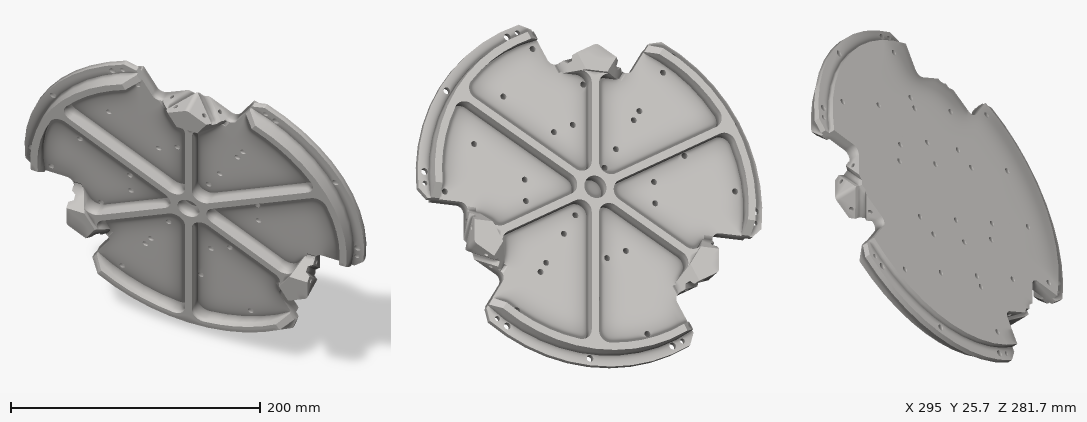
import cadquery as cq
import math

flange_back = 5.3
floor_height = 10.0
rib_height = 22.5
block_height = 25.7
clearance = 6.0

flange_radius = 147.5
back_radius = 136.2
rim_base_radius = 138.3
rim_front_radius = 137.5
pocket_radius = 131.2

rib_width = 6.2
pocket_fillet = 9.5
hub_recess_radius = 9.5
sector_angle = math.radians(60)
rim_rib_angles = (30, 150, 270)

notch_angles = (90, 210, 330)
face_tilt = math.radians(30)
face_distance = 104.7
side_offset = 22.0
notch_fillet = 6.5
peak_fillet = 4.5
block_inner = 97.5
block_half_width = 26.5
flange_corner = 139.0
rim_end_height = 12.5
peak_distance = face_distance / math.cos(face_tilt)
face_length = peak_distance * math.sin(face_tilt) - side_offset

groove_angle = math.radians(52)
flank_start = 19.5
flank_reach = 27.5
ditch_depth = 1.5
ditch_width = 2.5
ditch_length = 7.0
groove_offset = -1.8
groove_mouth = 9.5
groove_floor = 4.7
groove_depth = 3.8
groove_length = 47.2
groove_start = -4.5
screw_position = 23.0
screw_offset = 8.0
screw_diameter = 3.8
screw_depth = 8.8

flange_hole_circle = 141.5
flange_hole_diameter = 5.5
pin_hole_diameter = 4.0
bolt_step = 30
pin_step = 34

grid_axis_angle = 60
floor_hole_circle = 125.0
grid = floor_hole_circle / 5
floor_hole_diameter = 5.0
inner_square = 40.0
inner_axis_hole = 44.5
outer_axis_hole = 84.5
axis_hole_places = (grid, inner_axis_hole, 3 * grid, outer_axis_hole, floor_hole_circle)

normal = cq.Vector(math.cos(face_tilt), math.sin(face_tilt), 0)
along = cq.Vector(-math.sin(face_tilt), math.cos(face_tilt), 0)
up = cq.Vector(0, 0, 1)
peak = cq.Vector(peak_distance, 0, 0)


def disc(radius, bottom, top):
    return cq.Workplane("XY").workplane(offset=bottom).circle(radius).extrude(top - bottom)


def on_axis(angle, solid):
    return solid.rotate((0, 0, 0), (0, 0, 1), angle)


def both_sides(solid):
    return solid.union(solid.mirror("XZ"))


def beside_notch(distance, offset):
    """Point given along the face normal and along the face, from the part's centre."""
    return (normal * distance + along * offset).toTuple()[:2]


def body():
    """Back plate and flange, with a slightly tapered solid drum in front."""
    plate = disc(back_radius, 0, floor_height)
    flange = disc(flange_radius, flange_back, floor_height)
    drum_height = rib_height - floor_height
    taper = math.degrees(math.atan((rim_base_radius - rim_front_radius) / drum_height))
    drum = cq.Workplane("XY").workplane(offset=floor_height).circle(rim_base_radius)
    return plate.union(flange).union(drum.extrude(drum_height, taper=taper))


def block(height):
    """Raised stock of a mounting block; the notch trims its outer faces."""
    depth = peak_distance - block_inner
    footprint = cq.Workplane("XY").center(block_inner + depth / 2, 0).rect(depth, 2 * block_half_width)
    return footprint.extrude(height)


def pocket():
    """Sector pocket from the notch rib on the X axis round to the rib at 60 degrees."""
    half = rib_width / 2
    tip = half / math.tan(sector_angle / 2)
    reach = 2 * flange_radius
    far_end = (reach * math.cos(sector_angle), reach * math.sin(sector_angle))
    far_corner = (far_end[0] + tip, far_end[1] + half)
    height = block_height + clearance - floor_height
    sector = (
        cq.Workplane("XY").workplane(offset=floor_height)
        .polyline([(tip, half), (reach, half), far_corner]).close().extrude(height)
    )
    block_room = block(block_height + clearance)
    sector = sector.intersect(disc(pocket_radius, floor_height, floor_height + height)).cut(block_room)
    rim_corner = (pocket_radius / 2, pocket_radius * math.sin(sector_angle))
    corners = [(tip, half), (block_inner, half), rim_corner]
    for x, y in corners:
        corner = cq.selectors.NearestToPointSelector((x, y, floor_height + height / 2))
        sector = sector.edges(corner).fillet(pocket_fillet)
    return sector


def notch():
    """Opening in the outline, with a roof-shaped floor that forms the mounting faces."""
    corner = beside_notch(face_distance, -side_offset)
    outer = beside_notch(2 * flange_radius, -side_offset)
    outline = [(peak_distance, 0), corner, outer, (outer[0], -outer[1]), (corner[0], -corner[1])]
    opening = cq.Workplane("XY").polyline(outline).close().extrude(block_height)
    middle = block_height / 2
    peak_edge = cq.selectors.NearestToPointSelector((peak_distance, 0, middle))
    opening = opening.edges(peak_edge).fillet(peak_fillet)
    for side in (1, -1):
        place = (corner[0], side * corner[1], middle)
        opening = opening.edges(cq.selectors.NearestToPointSelector(place)).fillet(notch_fillet)
    return opening


def flange_corner_cut():
    """45 degree corner where the flange meets the side of the notch."""
    size = flange_radius - flange_corner + clearance
    points = [
        beside_notch(flange_corner, -side_offset),
        beside_notch(flange_corner + size, -side_offset + size),
        beside_notch(flange_corner + size, -side_offset),
    ]
    return cq.Workplane("XY").polyline(points).close().extrude(floor_height)


def rim_end_cut():
    """45 degree slope at the end of the raised rim."""
    plane = cq.Plane(origin=normal * flange_corner, xDir=along, normal=normal)
    rise = rib_height + clearance - rim_end_height
    points = [
        (-side_offset, rim_end_height),
        (-side_offset + rise, rim_end_height + rise),
        (-side_offset, rim_end_height + rise),
    ]
    length = 2 * (flange_corner - pocket_radius)
    return cq.Workplane(plane).polyline(points).close().extrude(length, both=True)


def face_plane():
    """Plane on a mounting face: x runs from the peak along the face, y up from the back."""
    return cq.Plane(origin=peak, xDir=along, normal=normal)


def flank_cut():
    """Sloped flank of the block, square to the groove, with a shallow ditch at its foot."""
    slope = 1 / math.tan(groove_angle)

    def flank(height):
        return (flank_start + (block_height - height) * slope, height)

    top = block_height + clearance
    end = face_length + clearance
    above_floor = [flank(top), flank(floor_height), (end, floor_height), (end, top)]
    ditch_bottom = flank(floor_height - ditch_depth)
    ditch = [flank(floor_height), ditch_bottom, (ditch_bottom[0] + ditch_width, floor_height)]
    flank_stock = cq.Workplane(face_plane()).polyline(above_floor).close().extrude(-flank_reach)
    return flank_stock.union(cq.Workplane(face_plane()).polyline(ditch).close().extrude(-ditch_length))


def groove_cut():
    """Slanted groove with sloping walls and a screw hole on either side."""
    run = along * math.sin(groove_angle) + up * math.cos(groove_angle)
    across = up * math.sin(groove_angle) - along * math.cos(groove_angle)
    centre = peak + across * groove_offset
    profile = [
        (-groove_mouth / 2, 0),
        (-groove_floor / 2, -groove_depth),
        (groove_floor / 2, -groove_depth),
        (groove_mouth / 2, 0),
    ]
    start = cq.Plane(origin=centre + run * groove_start, xDir=across, normal=run)
    groove = cq.Workplane(start).polyline(profile).close().extrude(groove_length)
    screws = cq.Plane(origin=centre + run * screw_position, xDir=across, normal=normal)
    holes = (
        cq.Workplane(screws).pushPoints([(-screw_offset, 0), (screw_offset, 0)])
        .circle(screw_diameter / 2).extrude(-screw_depth)
    )
    return groove.union(holes)


def holes(diameter, points):
    """Drills long enough to pass through the plate and the ribs."""
    return cq.Workplane("XY").pushPoints(points).circle(diameter / 2).extrude(rib_height)


def flange_holes():
    """Evenly spaced bolt holes between the notches, and a pin hole at either end of each row."""
    def around(angle):
        turn = math.radians(angle)
        return (flange_hole_circle * math.cos(turn), flange_hole_circle * math.sin(turn))

    bolts = [around(a + step) for a in rim_rib_angles for step in (-bolt_step, 0, bolt_step)]
    pins = [around(a + step) for a in rim_rib_angles for step in (-pin_step, pin_step)]
    return holes(flange_hole_diameter, bolts).union(holes(pin_hole_diameter, pins))


def floor_holes():
    """Holes along the tilted axis and in mirrored groups on a square grid about it."""
    points = [(end * place, 0) for end in (1, -1) for place in axis_hole_places]
    quadrant = [(grid, 2 * grid), (3 * grid, 2 * grid), (3 * grid, 4 * grid), (inner_square, inner_square)]
    points += [(i * x, j * y) for x, y in quadrant for i in (1, -1) for j in (1, -1)]
    points += [(grid, 4 * grid), (-grid, 4 * grid)]
    return on_axis(grid_axis_angle, holes(floor_hole_diameter, points))


part = body()
for angle in notch_angles:
    part = part.cut(on_axis(angle, both_sides(pocket())))
    part = part.union(on_axis(angle, block(block_height)))

notch_tools = [notch()] + [both_sides(t()) for t in (flange_corner_cut, rim_end_cut, flank_cut, groove_cut)]
for angle in notch_angles:
    for tool in notch_tools:
        part = part.cut(on_axis(angle, tool))

hub_recess = disc(hub_recess_radius, floor_height, rib_height)
part = part.cut(hub_recess).cut(flange_holes()).cut(floor_holes())

result = part.rotate((0, 0, 0), (1, 0, 0), 90)